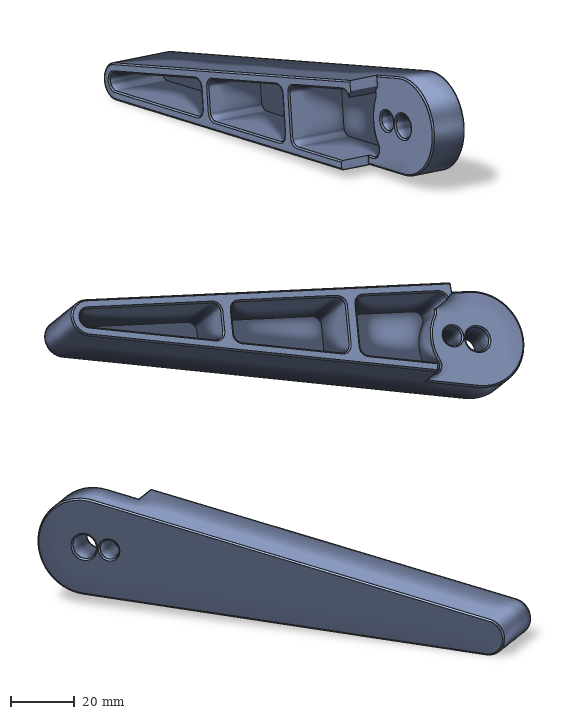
import cadquery as cq
import math

LENGTH = 157.2
DEPTH = 23.1
HEIGHT = 35.2

HUB_DIAMETER = 31.6
HUB_RADIUS = HUB_DIAMETER / 2
TIP_RADIUS = 6.0
HUB_DEPTH = 12.5
EDGE_CHAMFER = 0.5

WALL = 3.0
FLOOR = 2.5
RIB_WIDTH = 3.6
RIB_CENTRES = (-89.1, -46.5)
CORNER_RADIUS = 2.8
HUB_CORNER_RADIUS = 2.8

PIVOT_RADIUS = 4.0
SIDE_HOLE_RADIUS = 3.1
SIDE_HOLE_OFFSET = 8.3

UPPER_WALL_END = -12.0
LOWER_WALL_END = -19.2
RELIEF_RADIUS = 16.5
WALL_CORNER_RADIUS = 0.8

TIP_DX = LENGTH - HUB_RADIUS - TIP_RADIUS
TIP_DZ = HEIGHT - HUB_RADIUS - TIP_RADIUS
CENTRE_DISTANCE = math.hypot(TIP_DX, TIP_DZ)
TILT = math.degrees(math.atan2(TIP_DZ, TIP_DX))

NORMAL_X = -(HUB_RADIUS - TIP_RADIUS) / CENTRE_DISTANCE
NORMAL_Z = math.sqrt(1 - NORMAL_X**2)


def sketch_plane(y=0.0):
    """Plane across the lever at the given Y; extrusions from it run toward -Y."""
    return cq.Workplane("XZ", origin=(0, y, 0))


def inner_height(x):
    """Distance from the centre line to the inner face of either wall."""
    return (HUB_RADIUS - WALL - NORMAL_X * x) / NORMAL_Z


def lever_blank(depth):
    hub_x = HUB_RADIUS * NORMAL_X
    hub_z = HUB_RADIUS * NORMAL_Z
    tip_x = -CENTRE_DISTANCE + TIP_RADIUS * NORMAL_X
    tip_z = TIP_RADIUS * NORMAL_Z
    return (
        sketch_plane()
        .moveTo(tip_x, tip_z)
        .lineTo(hub_x, hub_z)
        .threePointArc((HUB_RADIUS, 0), (hub_x, -hub_z))
        .lineTo(tip_x, -tip_z)
        .threePointArc((-CENTRE_DISTANCE - TIP_RADIUS, 0), (tip_x, tip_z))
        .close()
        .extrude(depth)
    )


def tip_pocket(end):
    radius = TIP_RADIUS - WALL
    start_x = -CENTRE_DISTANCE + radius * NORMAL_X
    start_z = radius * NORMAL_Z
    pocket = (
        sketch_plane(-FLOOR)
        .moveTo(start_x, start_z)
        .lineTo(end, inner_height(end))
        .lineTo(end, -inner_height(end))
        .lineTo(start_x, -start_z)
        .threePointArc((-CENTRE_DISTANCE - radius, 0), (start_x, start_z))
        .close()
        .extrude(DEPTH)
    )
    return pocket.edges("|Y").edges(">X").fillet(CORNER_RADIUS)


def wall_to_wall(start, end):
    """Block filling the space between the walls from one X to another."""
    return (
        sketch_plane(-FLOOR)
        .moveTo(start, inner_height(start))
        .lineTo(end, inner_height(end))
        .lineTo(end, -inner_height(end))
        .lineTo(start, -inner_height(start))
        .close()
        .extrude(DEPTH)
    )


def middle_pocket(start, end):
    return wall_to_wall(start, end).edges("|Y").fillet(CORNER_RADIUS)


def hub_pocket(start):
    """Pocket that stops at the hub circle, reaching past it in a rounded corner along each wall."""
    hub = sketch_plane().circle(HUB_RADIUS).extrude(DEPTH + FLOOR)
    pocket = wall_to_wall(start, NORMAL_X * HUB_RADIUS).cut(hub)
    pocket = pocket.edges("|Y").edges(">X").fillet(HUB_CORNER_RADIUS)
    return pocket.edges("|Y").edges("<X").fillet(CORNER_RADIUS)


def holes():
    pivot = sketch_plane().circle(PIVOT_RADIUS).extrude(DEPTH)
    tilt = math.radians(TILT)
    side_centre = (-SIDE_HOLE_OFFSET * math.cos(tilt), SIDE_HOLE_OFFSET * math.sin(tilt))
    side = sketch_plane().center(*side_centre).circle(SIDE_HOLE_RADIUS).extrude(DEPTH)
    return pivot.union(side)


def lever_layer(depth):
    """Lever of one depth with its pockets and holes, chamfered on the front and back rims."""
    left_rib, right_rib = RIB_CENTRES
    half_rib = RIB_WIDTH / 2
    layer = (
        lever_blank(depth)
        .cut(tip_pocket(left_rib - half_rib))
        .cut(middle_pocket(left_rib + half_rib, right_rib - half_rib))
        .cut(hub_pocket(right_rib + half_rib))
        .cut(holes())
    )
    return layer.faces("<Y or >Y").edges().chamfer(EDGE_CHAMFER)


def relief():
    """Space around the hub where the full-depth walls are cut away."""
    reach = 2 * HUB_RADIUS
    arc_start_z = math.sqrt(RELIEF_RADIUS**2 - UPPER_WALL_END**2)
    lean = NORMAL_X / NORMAL_Z * (reach - arc_start_z)
    space = (
        sketch_plane()
        .moveTo(UPPER_WALL_END + lean, reach)
        .lineTo(UPPER_WALL_END, arc_start_z)
        .radiusArc((-RELIEF_RADIUS, 0), -RELIEF_RADIUS)
        .lineTo(LOWER_WALL_END, 0)
        .lineTo(LOWER_WALL_END, -reach)
        .lineTo(reach, -reach)
        .lineTo(reach, reach)
        .close()
        .extrude(DEPTH)
    )
    wall_corner = (UPPER_WALL_END, -DEPTH / 2, arc_start_z)
    return space.edges(cq.NearestToPointSelector(wall_corner)).fillet(WALL_CORNER_RADIUS)


arm = lever_layer(DEPTH).cut(relief())
lever = arm.union(lever_layer(HUB_DEPTH))
result = lever.rotate((0, 0, 0), (0, 1, 0), -TILT)